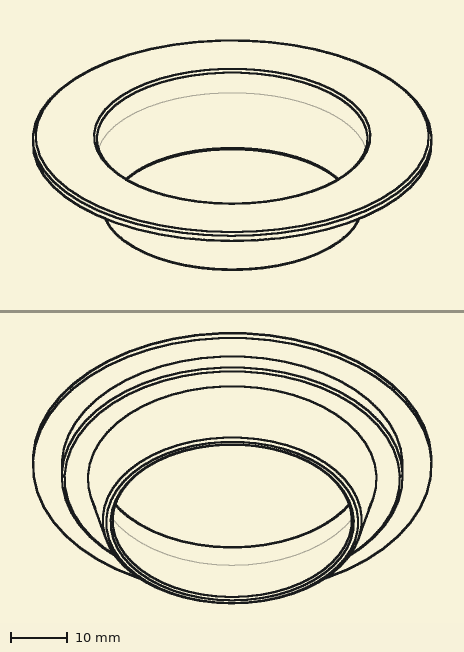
import cadquery as cq

flange_diameter = 70.1
flange_thickness = 1.55
step_diameter = 59.95
step_thickness = 3.0
edge_chamfer = 0.5

total_height = 14.6
spout_top_diameter = 50.75
spout_bottom_diameter = 45.3

bore_diameter = 47.6
outlet_diameter = 41.8
bore_straight_depth = flange_thickness + step_thickness

flange_bottom = total_height - flange_thickness
step_bottom = flange_bottom - step_thickness
taper_start = total_height - bore_straight_depth


def frustum(bottom_diameter, top_diameter, bottom, top):
    """Solid cone section about Z between two heights."""
    return (
        cq.Workplane("XY", origin=(0, 0, bottom))
        .circle(bottom_diameter / 2)
        .workplane(offset=top - bottom)
        .circle(top_diameter / 2)
        .loft(ruled=True)
    )


def disc(diameter, bottom, thickness):
    """Plain round plate about Z."""
    return cq.Workplane("XY", origin=(0, 0, bottom)).circle(diameter / 2).extrude(thickness)


flange = disc(flange_diameter, flange_bottom, flange_thickness)
step = disc(step_diameter, step_bottom, step_thickness).faces("<Z").chamfer(edge_chamfer)
spout = frustum(spout_bottom_diameter, spout_top_diameter, 0, step_bottom)
body = flange.union(step).union(spout)

straight_bore = disc(bore_diameter, taper_start, bore_straight_depth)
tapered_bore = frustum(outlet_diameter, bore_diameter, 0, taper_start)
body = body.cut(straight_bore).cut(tapered_bore)

result = body.faces(">Z or <Z").edges().chamfer(edge_chamfer)